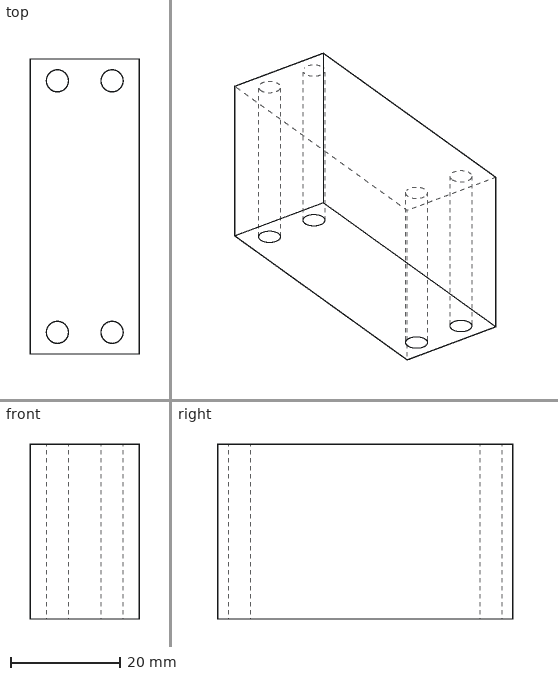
import cadquery as cq

width = 20.0
length = 54.0
height = 32.0

hole_diameter = 4.0
hole_side_margin = 5.0
hole_end_margin = 4.0
hole_spacing_x = width - 2 * hole_side_margin
hole_spacing_y = length - 2 * hole_end_margin


def make_block():
    """Plain rectangular block standing on the XY plane."""
    return cq.Workplane("XY").box(width, length, height, centered=(True, True, False))


def drill_corner_holes(block):
    """Drill the vertical holes through the full height of the block."""
    return (
        block.faces(">Z")
        .workplane()
        .rect(hole_spacing_x, hole_spacing_y, forConstruction=True)
        .vertices()
        .hole(hole_diameter)
    )


result = drill_corner_holes(make_block())